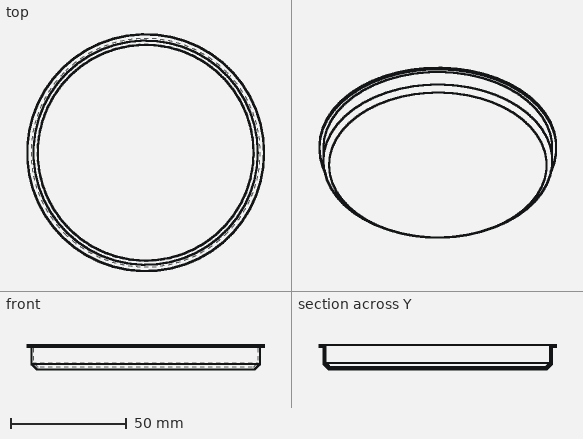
import cadquery as cq

rim_diameter = 102.5
height = 10.7

body_diameter = 99.0
cavity_diameter = 97.0
wall = (body_diameter - cavity_diameter) / 2
rim_thickness = 0.9
floor_thickness = wall

outer_chamfer = 2.5
inner_chamfer = 1.8

body = cq.Workplane("XY").circle(body_diameter / 2).extrude(height)
body = body.faces("<Z").chamfer(outer_chamfer)

rim = (
    cq.Workplane("XY")
    .workplane(offset=height - rim_thickness)
    .circle(rim_diameter / 2)
    .extrude(rim_thickness)
)

cavity = (
    cq.Workplane("XY")
    .workplane(offset=floor_thickness)
    .circle(cavity_diameter / 2)
    .extrude(height - floor_thickness)
)
cavity = cavity.faces("<Z").chamfer(inner_chamfer)

result = body.union(rim).cut(cavity)